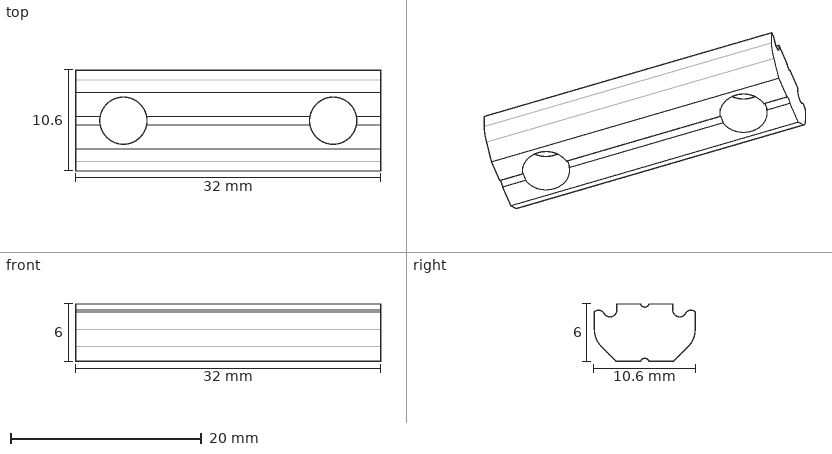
import cadquery as cq
import math

length = 32.0
width = 10.6
height = 6.0

rail_half_width = 2.95
base_half_width = 3.0
side_groove_radius = 0.7
side_groove_bottom = 4.67
lip_radius = 0.65
lip_y = 4.83
lower_corner_radius = 2.55
center_groove_width = 0.85
center_groove_depth = 0.32

hole_diameter = 4.93
hole_spacing = 22.0

half_width = width / 2
groove_y = rail_half_width + side_groove_radius
groove_z = side_groove_bottom + side_groove_radius
center_distance = side_groove_radius + lip_radius
center_offset = lip_y - groove_y
lip_z = groove_z - math.sqrt(center_distance**2 - center_offset**2)
lip_side_angle = math.acos((half_width - lip_y) / lip_radius)
join_angle = math.atan2(lip_z - groove_z, center_offset)

flank_corner_z = half_width - base_half_width
corner_tangent = lower_corner_radius * math.tan(math.radians(22.5))


def circle_point(center, radius, angle):
    """Return the point of a circle at an angle in radians."""
    return (center[0] + radius * math.cos(angle), center[1] + radius * math.sin(angle))


def make_half_bar():
    """Extrude the +Y half of the cross-section along X."""
    groove = (groove_y, groove_z)
    lip = (lip_y, lip_z)
    corner = (half_width - lower_corner_radius, flank_corner_z + corner_tangent)
    lip_join_angle = join_angle + math.pi
    return (
        cq.Workplane("YZ")
        .moveTo(0, 0)
        .lineTo(base_half_width, 0)
        .lineTo(*circle_point(corner, lower_corner_radius, -math.pi / 4))
        .threePointArc(
            circle_point(corner, lower_corner_radius, -math.pi / 8),
            circle_point(corner, lower_corner_radius, 0),
        )
        .lineTo(*circle_point(lip, lip_radius, lip_side_angle))
        .threePointArc(
            circle_point(lip, lip_radius, (lip_side_angle + lip_join_angle) / 2),
            circle_point(lip, lip_radius, lip_join_angle),
        )
        .threePointArc(
            circle_point(groove, side_groove_radius, (join_angle - math.pi) / 2),
            (rail_half_width, groove_z),
        )
        .lineTo(rail_half_width, height)
        .lineTo(0, height)
        .close()
        .extrude(length / 2, both=True)
    )


def make_center_groove(face_z, inward):
    """Make a round groove cutter; inward is the Z direction into the bar."""
    half_groove = center_groove_width / 2
    radius = (half_groove**2 + center_groove_depth**2) / (2 * center_groove_depth)
    axis_z = face_z + inward * (center_groove_depth - radius)
    return cq.Workplane("YZ").center(0, axis_z).circle(radius).extrude(length / 2, both=True)


half_bar = make_half_bar()
bar = half_bar.union(half_bar.mirror("XZ")).clean()

for face_z, inward in ((0, 1), (height, -1)):
    bar = bar.cut(make_center_groove(face_z, inward))

holes = (
    cq.Workplane("XY")
    .pushPoints([(-hole_spacing / 2, 0), (hole_spacing / 2, 0)])
    .circle(hole_diameter / 2)
    .extrude(height)
)
result = bar.cut(holes)